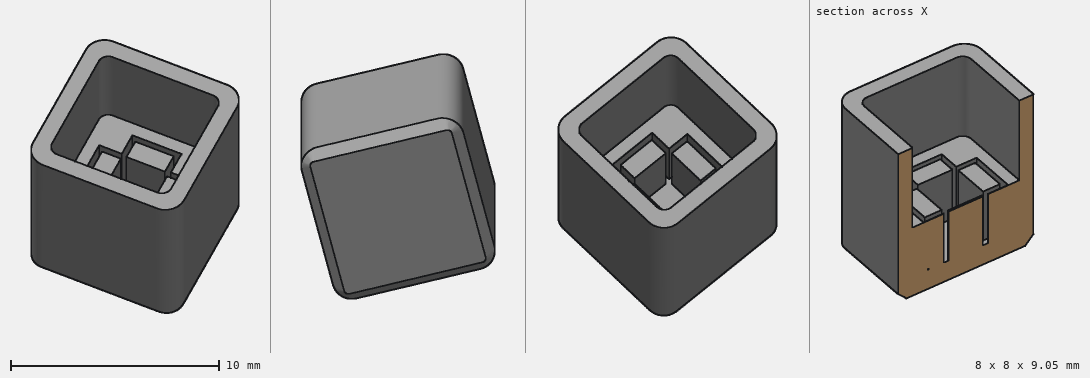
import cadquery as cq


width = 8.0
height = 9.05
corner_radius = 1.0

taper = 0.5
foot_top_radius = 0.85
foot_bottom_radius = 0.22

pocket_width = 6.3
pocket_radius = 0.5
pocket_depth = 4.86
floor_z = height - pocket_depth

cross_length = 5.0
cross_arm_width = 2.6
recess_depth = 2.99
prong_gap = 0.28
prong_thickness = 1.0
prong_width = cross_arm_width - 2 * prong_gap
prong_center = (cross_length - prong_thickness) / 2 - prong_gap
recess_z = floor_z - recess_depth


def rounded_square(side, radius):
    return cq.Sketch().rect(side, side).vertices().fillet(radius)


def block(bottom_z, length_x, length_y, block_height):
    """Rectangular block centered on the Z axis, standing on bottom_z."""
    return cq.Workplane("XY", origin=(0, 0, bottom_z)).rect(length_x, length_y).extrude(block_height)


def make_body():
    """Rounded block trimmed by an envelope that narrows at the foot."""
    body = cq.Workplane("XY").placeSketch(rounded_square(width, corner_radius)).extrude(height)
    foot_top = rounded_square(width, foot_top_radius)
    foot_bottom = rounded_square(width - 2 * taper, foot_bottom_radius)
    foot = (
        cq.Workplane("XY")
        .placeSketch(foot_bottom, foot_top.moved(cq.Location(cq.Vector(0, 0, taper))))
        .loft(ruled=True)
    )
    above_foot = block(taper, width, width, height - taper)
    return body.intersect(foot.union(above_foot))


def make_pocket():
    pocket = rounded_square(pocket_width, pocket_radius)
    return cq.Workplane("XY", origin=(0, 0, floor_z)).placeSketch(pocket).extrude(pocket_depth)


def make_cross_recess():
    """Cross-shaped cavity that leaves four prongs level with the pocket floor."""
    recess = block(recess_z, cross_length, cross_arm_width, recess_depth)
    recess = recess.union(block(recess_z, cross_arm_width, cross_length, recess_depth))
    prong = block(recess_z, prong_thickness, prong_width, recess_depth).translate((prong_center, 0, 0))
    for angle in (0, 90, 180, 270):
        recess = recess.cut(prong.rotate((0, 0, 0), (0, 0, 1), angle))
    return recess


result = make_body().cut(make_pocket()).cut(make_cross_recess())